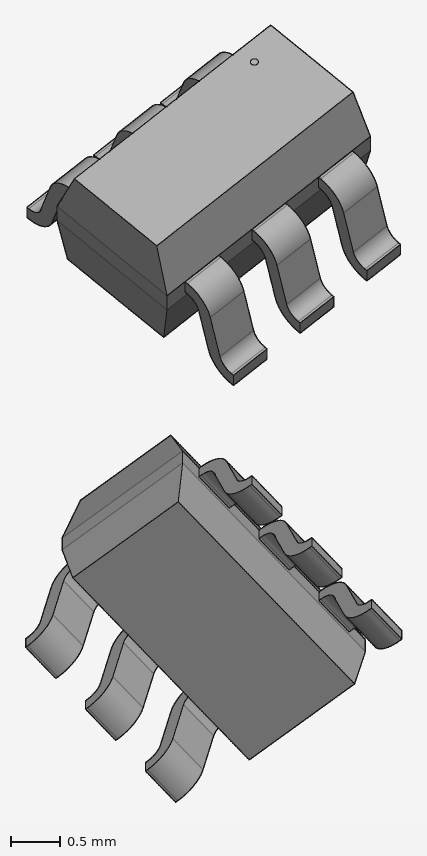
import cadquery as cq
import math

SPAN_X = 3.0
TOP_Z = 1.7

WAIST_X = 1.6
WAIST_Y = 2.9
HOUSING_BOTTOM_Z = 0.25
WAIST_HEIGHT = 0.24
TAPER_HEIGHT = (TOP_Z - HOUSING_BOTTOM_Z - WAIST_HEIGHT) / 2
WAIST_BOTTOM_Z = HOUSING_BOTTOM_Z + TAPER_HEIGHT
WAIST_TOP_Z = WAIST_BOTTOM_Z + WAIST_HEIGHT
TOP_INSET_X = 0.2
BOTTOM_INSET_X = TOP_INSET_X / 2
END_INSET_Y = 0.05

LEADS_PER_SIDE = 3
LEAD_PITCH = 0.95
LEAD_WIDTH = 0.48
LEAD_THICKNESS = 0.175
LEAD_TOP_Z = 1.09
BEND_INNER_RADIUS = 0.175
BEND_OUTER_RADIUS = BEND_INNER_RADIUS + LEAD_THICKNESS
LEG_LEAN = math.radians(15)
BEND_ANGLE = math.pi / 2 - LEG_LEAN

MARKER_DIAMETER = 0.08
MARKER_DEPTH = 0.03
MARKER_X = -0.378
MARKER_Y = LEAD_PITCH


def tapered_block(base_z, end_z, inset_x):
    """Block that narrows from the waist outline at base_z to a smaller outline at end_z."""
    return (
        cq.Workplane("XY")
        .workplane(offset=base_z)
        .rect(WAIST_X, WAIST_Y)
        .workplane(offset=end_z - base_z)
        .rect(WAIST_X - 2 * inset_x, WAIST_Y - 2 * END_INSET_Y)
        .loft(ruled=True)
    )


def make_marker():
    return (
        cq.Workplane("XY")
        .workplane(offset=TOP_Z - MARKER_DEPTH)
        .center(MARKER_X, MARKER_Y)
        .circle(MARKER_DIAMETER / 2)
        .extrude(MARKER_DEPTH)
    )


def make_housing():
    waist = (
        cq.Workplane("XY")
        .workplane(offset=WAIST_BOTTOM_Z)
        .rect(WAIST_X, WAIST_Y)
        .extrude(WAIST_HEIGHT)
    )
    upper = tapered_block(WAIST_TOP_Z, TOP_Z, TOP_INSET_X)
    lower = tapered_block(WAIST_BOTTOM_Z, HOUSING_BOTTOM_Z, BOTTOM_INSET_X)
    return waist.union(upper).union(lower).cut(make_marker())


def make_lead(side, y):
    """Gull-wing lead on the side -1 or +1, centred at y, butting against the waist."""
    root_x = WAIST_X / 2
    tip_x = SPAN_X / 2

    bend_radii = BEND_INNER_RADIUS + BEND_OUTER_RADIUS
    leg_drop = LEAD_TOP_Z - LEAD_THICKNESS - bend_radii * (1 - math.cos(BEND_ANGLE))
    leg_run = leg_drop * math.tan(LEG_LEAN)
    flat = (tip_x - root_x - leg_run - bend_radii * math.sin(BEND_ANGLE)) / 2

    shoulder_x = root_x + flat
    shoulder_z = LEAD_TOP_Z - BEND_OUTER_RADIUS
    foot_x = tip_x - flat
    foot_z = BEND_OUTER_RADIUS

    def shoulder_point(radius, turn):
        return (
            side * (shoulder_x + radius * math.sin(turn)),
            shoulder_z + radius * math.cos(turn),
        )

    def foot_point(radius, turn):
        return (
            side * (foot_x - radius * math.sin(turn)),
            foot_z - radius * math.cos(turn),
        )

    half = BEND_ANGLE / 2
    profile = (
        cq.Workplane("XZ", origin=(0, y, 0))
        .moveTo(side * root_x, LEAD_TOP_Z)
        .lineTo(*shoulder_point(BEND_OUTER_RADIUS, 0))
        .threePointArc(
            shoulder_point(BEND_OUTER_RADIUS, half),
            shoulder_point(BEND_OUTER_RADIUS, BEND_ANGLE),
        )
        .lineTo(*foot_point(BEND_INNER_RADIUS, BEND_ANGLE))
        .threePointArc(foot_point(BEND_INNER_RADIUS, half), foot_point(BEND_INNER_RADIUS, 0))
        .lineTo(side * tip_x, LEAD_THICKNESS)
        .lineTo(side * tip_x, 0)
        .lineTo(*foot_point(BEND_OUTER_RADIUS, 0))
        .threePointArc(
            foot_point(BEND_OUTER_RADIUS, half),
            foot_point(BEND_OUTER_RADIUS, BEND_ANGLE),
        )
        .lineTo(*shoulder_point(BEND_INNER_RADIUS, BEND_ANGLE))
        .threePointArc(
            shoulder_point(BEND_INNER_RADIUS, half),
            shoulder_point(BEND_INNER_RADIUS, 0),
        )
        .lineTo(side * root_x, LEAD_TOP_Z - LEAD_THICKNESS)
        .close()
    )
    return profile.extrude(LEAD_WIDTH / 2, both=True)


housing = make_housing()
marker = make_marker()

leads = []
for side in (-1, 1):
    for index in range(LEADS_PER_SIDE):
        lead_y = (index - (LEADS_PER_SIDE - 1) / 2) * LEAD_PITCH
        leads.append(make_lead(side, lead_y))

result = cq.Compound.makeCompound(
    [housing.val(), marker.val(), *[lead.val() for lead in leads]]
)